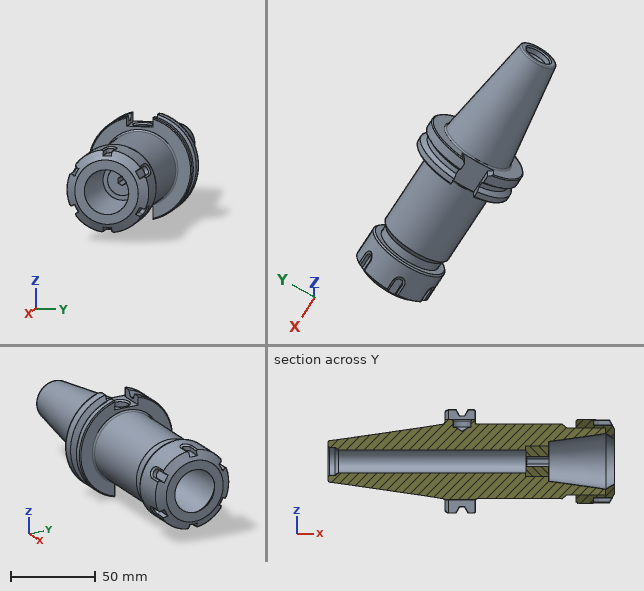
import cadquery as cq
import math

TOTAL_LENGTH = 169.9

GAUGE_DIAMETER = 44.5
GAUGE_DISTANCE = 68.3
TAPER_RATIO = 7 / 24
TAPER_END_FILLET = 1.0

FLANGE_DIAMETER = 63.4
FLANGE_START = 69.3
FLANGE_WIDTH = 18.0
FLANGE_EDGE_CHAMFER = 0.7
FLANGE_ROOT_FILLET = 1.0
GROOVE_CENTER = 79.5
GROOVE_DIAMETER = 56.2
GROOVE_MOUTH = 7.1
GROOVE_HALF_ANGLE = 30.0
DRIVE_SLOT_WIDTH = 16.0
DRIVE_SLOT_CHAMFER_DEPTH = 2.0
DRIVE_SLOT_CHAMFER_SPREAD = 2.9
TOP_SLOT_FLOOR = 25.0
BOTTOM_SLOT_FLOOR = 22.8

POCKET_MOUTH_DIAMETER = 12.2
POCKET_DIAMETER = 10.2
POCKET_DEPTH = 4.6
POCKET_TIP_DIAMETER = 8.0
DRILL_POINT_ANGLE = 118.0

SHANK_DIAMETER = 44.5
SHANK_END = 138.8
NECK_DIAMETER = 40.0
NECK_START = 141.7

BORE_MOUTH_DIAMETER = 17.8
COUNTERBORE_DIAMETER = 16.5
BORE_CHAMFER_LENGTH = 1.0
COUNTERBORE_DEPTH = 4.2
BORE_DIAMETER = 13.5
BORE_CONE_END = 6.3

SCREW_DIAMETER = 17.8
SCREW_LENGTH = 13.6
SCREW_SOCKET_FLATS = 5.0
SCREW_COUNTERSINK_DIAMETER = 6.1

SEAT_MOUTH_DIAMETER = 33.0
SEAT_BACK_DIAMETER = 23.5
SEAT_HALF_ANGLE = 8.0

NUT_DIAMETER = 50.0
NUT_START = 147.0
NUT_BACK_CHAMFER = 1.0
NUT_FRONT_CONE_START = 166.6
NUT_FRONT_DIAMETER = 38.7
NUT_OPENING = 27.0
NUT_INNER_HALF_ANGLE = 30.0
WRENCH_SLOT_COUNT = 6
WRENCH_SLOT_WIDTH = 5.1
WRENCH_SLOT_ARC_CENTER = 160.0
INDEX_SLOT_ARC_CENTER = 156.1
INDEX_SLOT_NUMBER = 5
WRENCH_SLOT_FLOOR = 21.5
WRENCH_SLOT_CHAMFER_START = 24.1
WRENCH_SLOT_CHAMFER_ANGLE = 65.0

TAPER_SMALL_DIAMETER = GAUGE_DIAMETER - GAUGE_DISTANCE * TAPER_RATIO
TAPER_LARGE_DIAMETER = TAPER_SMALL_DIAMETER + FLANGE_START * TAPER_RATIO
FLANGE_END = FLANGE_START + FLANGE_WIDTH
ARBOR_END = TOTAL_LENGTH - (SEAT_MOUTH_DIAMETER - NUT_OPENING) / 2 / math.tan(
    math.radians(NUT_INNER_HALF_ANGLE)
)
SEAT_BACK = ARBOR_END - (SEAT_MOUTH_DIAMETER - SEAT_BACK_DIAMETER) / 2 / math.tan(
    math.radians(SEAT_HALF_ANGLE)
)
SCREW_START = SEAT_BACK - SCREW_LENGTH

CUTTER_MARGIN = 1.7
SELECTOR_MARGIN = 0.2


def turned(stations):
    """Solid of revolution about X through (x, diameter) stations."""
    points = [(x, diameter / 2) for x, diameter in stations]
    outline = [(points[0][0], 0), *points]
    if points[-1][1] > 0:
        outline.append((points[-1][0], 0))
    return cq.Workplane("XY").polyline(outline).close().revolve(360, (0, 0, 0), (1, 0, 0))


def circle_at(x, diameter):
    """Selector for the circular edge of a given diameter in the plane at x."""
    reach = diameter / 2 + SELECTOR_MARGIN
    return cq.selectors.BoxSelector(
        (x - SELECTOR_MARGIN, -reach, -reach), (x + SELECTOR_MARGIN, reach, reach), boundingbox=True
    )


def arbor_blank():
    """Outer turned shape, with rounded small end and rounded flange corners."""
    flange_edge = FLANGE_DIAMETER - 2 * FLANGE_EDGE_CHAMFER
    groove_depth = (FLANGE_DIAMETER - GROOVE_DIAMETER) / 2
    mouth_half = GROOVE_MOUTH / 2
    floor_half = mouth_half - groove_depth * math.tan(math.radians(GROOVE_HALF_ANGLE))
    blank = turned([
        (0, TAPER_SMALL_DIAMETER),
        (FLANGE_START, TAPER_LARGE_DIAMETER),
        (FLANGE_START, flange_edge),
        (FLANGE_START + FLANGE_EDGE_CHAMFER, FLANGE_DIAMETER),
        (GROOVE_CENTER - mouth_half, FLANGE_DIAMETER),
        (GROOVE_CENTER - floor_half, GROOVE_DIAMETER),
        (GROOVE_CENTER + floor_half, GROOVE_DIAMETER),
        (GROOVE_CENTER + mouth_half, FLANGE_DIAMETER),
        (FLANGE_END - FLANGE_EDGE_CHAMFER, FLANGE_DIAMETER),
        (FLANGE_END, flange_edge),
        (FLANGE_END, SHANK_DIAMETER),
        (SHANK_END, SHANK_DIAMETER),
        (NECK_START, NECK_DIAMETER),
        (ARBOR_END, NECK_DIAMETER),
    ])
    blank = blank.edges(circle_at(0, TAPER_SMALL_DIAMETER)).fillet(TAPER_END_FILLET)
    blank = blank.edges(circle_at(FLANGE_START, TAPER_LARGE_DIAMETER)).fillet(FLANGE_ROOT_FILLET)
    return blank.edges(circle_at(FLANGE_END, SHANK_DIAMETER)).fillet(FLANGE_ROOT_FILLET)


def arbor_bore():
    """Stepped bore from the small end, widening for the stop screw and the conical collet seat."""
    return turned([
        (0, BORE_MOUTH_DIAMETER),
        (BORE_CHAMFER_LENGTH, COUNTERBORE_DIAMETER),
        (COUNTERBORE_DEPTH, COUNTERBORE_DIAMETER),
        (BORE_CONE_END, BORE_DIAMETER),
        (SCREW_START, BORE_DIAMETER),
        (SCREW_START, SCREW_DIAMETER),
        (SEAT_BACK, SCREW_DIAMETER),
        (SEAT_BACK, SEAT_BACK_DIAMETER),
        (ARBOR_END, SEAT_MOUTH_DIAMETER),
    ])


def drive_slot(floor):
    """Cutter for a slot across the flange, open towards +Z, chamfered on the taper side."""
    half = DRIVE_SLOT_WIDTH / 2
    mouth_half = half + DRIVE_SLOT_CHAMFER_SPREAD
    return (
        cq.Workplane("XY", origin=(0, 0, floor))
        .polyline([
            (FLANGE_START, -mouth_half),
            (FLANGE_START + DRIVE_SLOT_CHAMFER_DEPTH, -half),
            (FLANGE_END, -half),
            (FLANGE_END, half),
            (FLANGE_START + DRIVE_SLOT_CHAMFER_DEPTH, half),
            (FLANGE_START, mouth_half),
        ])
        .close()
        .extrude(FLANGE_DIAMETER / 2)
    )


def slot_pocket():
    """Chamfered round pocket with a drilled tip, sunk from the floor of the upper slot."""
    radius = POCKET_DIAMETER / 2
    mouth_radius = POCKET_MOUTH_DIAMETER / 2
    tip_radius = POCKET_TIP_DIAMETER / 2
    tip_length = tip_radius / math.tan(math.radians(DRILL_POINT_ANGLE / 2))
    pocket_floor = TOP_SLOT_FLOOR - POCKET_DEPTH
    return (
        cq.Workplane("XZ")
        .polyline([
            (0, TOP_SLOT_FLOOR),
            (mouth_radius, TOP_SLOT_FLOOR),
            (radius, TOP_SLOT_FLOOR - (mouth_radius - radius)),
            (radius, pocket_floor),
            (tip_radius, pocket_floor),
            (0, pocket_floor - tip_length),
        ])
        .close()
        .revolve(360, (0, 0, 0), (0, 1, 0))
        .translate((GROOVE_CENTER, 0, 0))
    )


def make_arbor():
    lower_slot = drive_slot(BOTTOM_SLOT_FLOOR).rotate((0, 0, 0), (1, 0, 0), 180)
    return (
        arbor_blank()
        .cut(arbor_bore())
        .cut(drive_slot(TOP_SLOT_FLOOR))
        .cut(lower_slot)
        .cut(slot_pocket())
    )


def make_stop_screw():
    hexagon_sides = 6
    across_corners = SCREW_SOCKET_FLATS / math.cos(math.pi / hexagon_sides)
    corner_upward = 180 / hexagon_sides
    socket = (
        cq.Workplane("YZ", origin=(SCREW_START, 0, 0))
        .transformed(rotate=(0, 0, corner_upward))
        .polygon(hexagon_sides, across_corners)
        .extrude(SCREW_LENGTH)
    )
    countersink_radius = SCREW_COUNTERSINK_DIAMETER / 2
    countersink = turned([(SCREW_START, SCREW_COUNTERSINK_DIAMETER), (SCREW_START + countersink_radius, 0)])
    screw = turned([(SCREW_START, SCREW_DIAMETER), (SEAT_BACK, SCREW_DIAMETER)])
    return screw.cut(socket).cut(countersink)


def wrench_slot(arc_center):
    """Cutter for one round-ended wrench slot facing +Z, with a chamfered rim."""
    slot_end = TOTAL_LENGTH + CUTTER_MARGIN
    half = WRENCH_SLOT_WIDTH / 2

    def outline(height):
        return (
            cq.Workplane("XY", origin=(0, 0, height))
            .moveTo(slot_end, -half)
            .lineTo(arc_center, -half)
            .threePointArc((arc_center - half, 0), (arc_center, half))
            .lineTo(slot_end, half)
            .close()
        )

    wall_height = WRENCH_SLOT_CHAMFER_START - WRENCH_SLOT_FLOOR
    rim_height = NUT_DIAMETER / 2 - WRENCH_SLOT_CHAMFER_START
    walls = outline(WRENCH_SLOT_FLOOR).extrude(wall_height)
    rim = outline(WRENCH_SLOT_CHAMFER_START).extrude(rim_height, taper=-WRENCH_SLOT_CHAMFER_ANGLE)
    return walls.union(rim)


def make_nut():
    nut = turned([
        (NUT_START, NUT_DIAMETER - 2 * NUT_BACK_CHAMFER),
        (NUT_START + NUT_BACK_CHAMFER, NUT_DIAMETER),
        (NUT_FRONT_CONE_START, NUT_DIAMETER),
        (TOTAL_LENGTH, NUT_FRONT_DIAMETER),
    ])
    opening = turned([
        (NUT_START, NECK_DIAMETER),
        (ARBOR_END, NECK_DIAMETER),
        (ARBOR_END, SEAT_MOUTH_DIAMETER),
        (TOTAL_LENGTH, NUT_OPENING),
    ])
    nut = nut.cut(opening)
    for index in range(WRENCH_SLOT_COUNT):
        angle = index * 360 / WRENCH_SLOT_COUNT
        arc_center = INDEX_SLOT_ARC_CENTER if index == INDEX_SLOT_NUMBER else WRENCH_SLOT_ARC_CENTER
        nut = nut.cut(wrench_slot(arc_center).rotate((0, 0, 0), (1, 0, 0), angle))
    return nut


arbor = make_arbor()
stop_screw = make_stop_screw()
nut = make_nut()
result = cq.Compound.makeCompound([arbor.val(), stop_screw.val(), nut.val()])